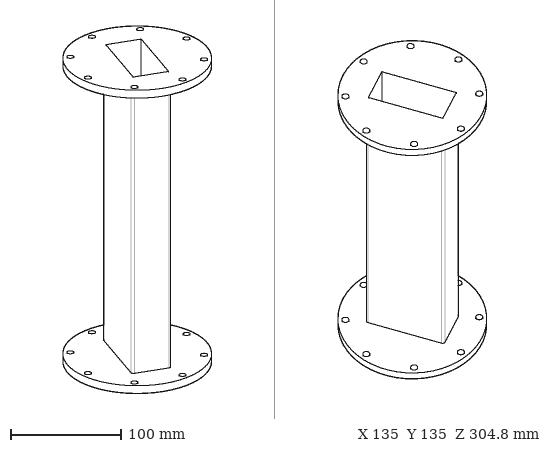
import cadquery as cq

length = 304.8
flange_diameter = 135.0
flange_thickness = 8.0

bore_width = 72.2
bore_depth = 34.0
wall = 2.0
tube_width = bore_width + 2 * wall
tube_depth = bore_depth + 2 * wall
corner_radius = 2.5

hole_count = 8
hole_diameter = 6.5
bolt_circle_radius = 60.7
hole_pitch_angle = 360 / hole_count


def make_tube():
    """Solid tube body with rounded outer corners."""
    body = cq.Workplane("XY").box(tube_width, tube_depth, length)
    return body.edges("|Z").fillet(corner_radius)


def make_flange(bottom_z):
    """Round flange with a ring of through holes."""
    disc = cq.Workplane("XY").workplane(offset=bottom_z).circle(flange_diameter / 2).extrude(flange_thickness)
    holes = (
        cq.Workplane("XY")
        .workplane(offset=bottom_z)
        .polarArray(bolt_circle_radius, hole_pitch_angle / 2, 360, hole_count)
        .circle(hole_diameter / 2)
        .extrude(flange_thickness)
    )
    return disc.cut(holes)


bottom_flange = make_flange(-length / 2)
top_flange = make_flange(length / 2 - flange_thickness)
bore = cq.Workplane("XY").box(bore_width, bore_depth, length)

result = make_tube().union(bottom_flange).union(top_flange).cut(bore)